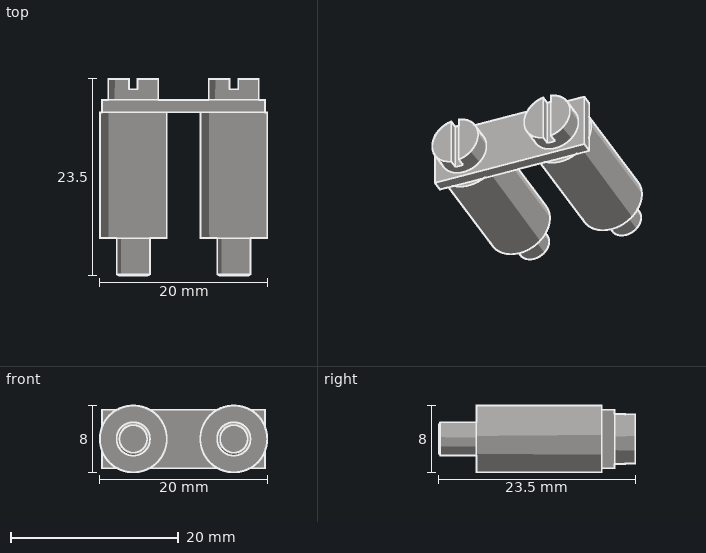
import cadquery as cq

screw_spacing = 12.0

plate_length = 19.5
plate_height = 7.0
plate_thickness = 1.5

sleeve_diameter = 8.0
sleeve_length = 15.0

pin_diameter = 4.0
pin_length = 4.5
pin_chamfer_radial = 0.35
pin_chamfer_axial = 0.2

head_diameter = 6.0
head_height = 2.5
slot_width = 1.0
slot_depth = 1.2

head_top_y = plate_thickness + head_height
pin_tip_y = -(sleeve_length + pin_length)


def cylinder_along_y(x, start_y, diameter, length):
    """Cylinder centred on (x, Z = 0), running from start_y towards +Y."""
    return cq.Workplane("XZ", origin=(x, start_y, 0)).circle(diameter / 2).extrude(-length)


def make_plate():
    return cq.Workplane("XY").box(
        plate_length, plate_thickness, plate_height, centered=(True, False, True)
    )


def make_head(x):
    """Round screw head with a driver slot running along Z."""
    head = cylinder_along_y(x, plate_thickness, head_diameter, head_height)
    slot = (
        cq.Workplane("XY")
        .box(slot_width, slot_depth, head_diameter, centered=(True, False, True))
        .translate((x, head_top_y - slot_depth, 0))
    )
    return head.cut(slot)


def make_sleeve(x):
    return cylinder_along_y(x, -sleeve_length, sleeve_diameter, sleeve_length)


def make_pin(x):
    """Screw end beyond the sleeve, with an unequal chamfer at its tip."""
    pin_radius = pin_diameter / 2
    tip_radius = pin_radius - pin_chamfer_radial
    profile = (
        cq.Workplane("XY")
        .moveTo(0, pin_tip_y)
        .lineTo(tip_radius, pin_tip_y)
        .lineTo(pin_radius, pin_tip_y + pin_chamfer_axial)
        .lineTo(pin_radius, -sleeve_length)
        .lineTo(0, -sleeve_length)
        .close()
    )
    return profile.revolve(360, (0, 0, 0), (0, 1, 0)).translate((x, 0, 0))


result = make_plate()
for screw_x in (-screw_spacing / 2, screw_spacing / 2):
    result = result.union(make_head(screw_x))
    result = result.union(make_sleeve(screw_x))
    result = result.union(make_pin(screw_x))